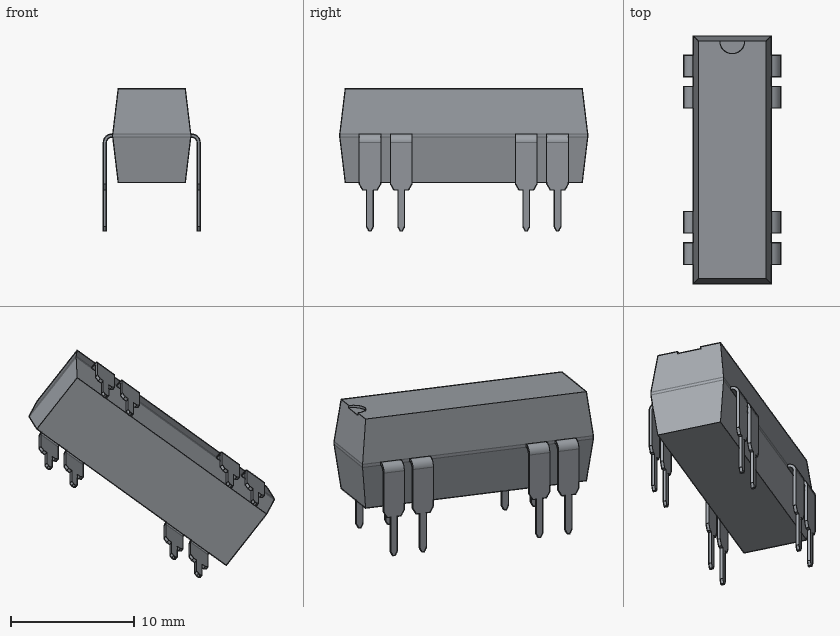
import cadquery as cq
import math


housing_length = 20.15
housing_width = 6.35
half_height = 3.69
face_inset = 0.45
draft_angle = math.degrees(math.atan2(face_inset, half_height))

notch_radius = 1.0
notch_depth = 0.2

lead_thickness = 0.26
overall_width = 7.87
bend_radius = 0.7
lead_drop = 7.87
blade_width = 1.77
pin_width = 0.56
tip_width = 0.18
shoulder_width = 1.19
shoulder_top = 4.05
shoulder_bottom = 4.55
tip_start = 7.51

lead_pitch = 2.54
pitch_steps = (-3, -2, 2, 3)


def tapered_half(height):
    """Half of the housing, narrowing away from the XY plane; the sign of height sets the direction."""
    return (
        cq.Workplane("XY")
        .rect(housing_width, housing_length)
        .extrude(height, taper=draft_angle)
    )


def make_housing():
    band = cq.Workplane("XY").box(
        housing_width, housing_length, lead_thickness, centered=(True, True, False)
    ).translate((0, 0, -lead_thickness))
    upper_half = tapered_half(half_height)
    lower_half = tapered_half(-half_height).translate((0, 0, -lead_thickness))
    top_edge_y = housing_length / 2 - face_inset
    notch = (
        cq.Workplane("XY", origin=(0, top_edge_y, half_height - notch_depth))
        .circle(notch_radius)
        .extrude(notch_depth)
    )
    return band.union(upper_half).union(lower_half).cut(notch)


def bent_strip():
    """Full-width strip bent from the housing's +X side down to the tip level, centred on Y = 0."""
    root_x = housing_width / 2
    outer_x = overall_width / 2
    inner_x = outer_x - lead_thickness
    bend_x = outer_x - bend_radius
    inner_radius = bend_radius - lead_thickness
    diagonal = math.sqrt(0.5)
    return (
        cq.Workplane("XZ")
        .moveTo(root_x, 0)
        .lineTo(bend_x, 0)
        .threePointArc(
            (bend_x + bend_radius * diagonal, bend_radius * (diagonal - 1)),
            (outer_x, -bend_radius),
        )
        .lineTo(outer_x, -lead_drop)
        .lineTo(inner_x, -lead_drop)
        .lineTo(inner_x, -bend_radius)
        .threePointArc(
            (bend_x + inner_radius * diagonal, inner_radius * diagonal - bend_radius),
            (bend_x, -lead_thickness),
        )
        .lineTo(root_x, -lead_thickness)
        .close()
        .extrude(blade_width / 2, both=True)
    )


def blade_outline():
    """Prism along X with the lead's face outline: wide blade, chamfered shoulders, pointed pin."""
    return (
        cq.Workplane("YZ")
        .moveTo(0, 0)
        .lineTo(blade_width / 2, 0)
        .lineTo(blade_width / 2, -shoulder_top)
        .lineTo(shoulder_width / 2, -shoulder_bottom)
        .lineTo(pin_width / 2, -shoulder_bottom)
        .lineTo(pin_width / 2, -tip_start)
        .lineTo(tip_width / 2, -lead_drop)
        .lineTo(0, -lead_drop)
        .mirrorY()
        .extrude(overall_width)
    )


def make_leads():
    right_lead = bent_strip().intersect(blade_outline())
    left_lead = right_lead.mirror("YZ")
    leads = []
    for step in pitch_steps:
        for lead in (left_lead, right_lead):
            leads.append(lead.translate((0, step * lead_pitch, 0)).solids().val())
    return leads


housing = make_housing()
leads = make_leads()

result = cq.Compound.makeCompound([housing.solids().val(), *leads])